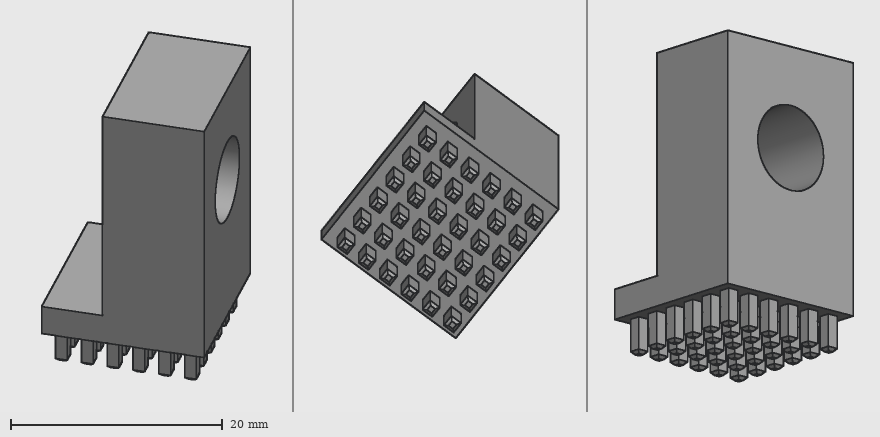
import cadquery as cq

side = 16.0
total_height = 28.5

base_thickness = 3.0
upright_thickness = 10.0

pin_count = 6
pin_pitch = 2.55
pin_width = 1.17
pin_length = 3.5
pin_tip_chamfer = 0.3

hole_diameter = 8.38
countersink_diameter = 10.6
countersink_depth = (countersink_diameter - hole_diameter) / 2
hole_height = 18.5

base_bottom = pin_length
ledge_top = base_bottom + base_thickness
upright_face = side / 2 - upright_thickness


def make_body():
    """L-shaped profile in the XZ plane, extruded across the full depth."""
    return (
        cq.Workplane("XZ")
        .moveTo(-side / 2, base_bottom)
        .lineTo(side / 2, base_bottom)
        .lineTo(side / 2, total_height)
        .lineTo(upright_face, total_height)
        .lineTo(upright_face, ledge_top)
        .lineTo(-side / 2, ledge_top)
        .close()
        .extrude(side / 2, both=True)
    )


def make_hole():
    """Cutter for the through hole and its conical mouth, revolved about the hole axis."""
    hole_radius = hole_diameter / 2
    return (
        cq.Workplane("XZ", origin=(upright_face, 0, hole_height))
        .lineTo(0, countersink_diameter / 2)
        .lineTo(countersink_depth, hole_radius)
        .lineTo(upright_thickness, hole_radius)
        .lineTo(upright_thickness, 0)
        .close()
        .revolve(360, (0, 0), (1, 0))
    )


def make_pins():
    """Grid of square pins with chamfered tips, hanging from the base."""
    pin = (
        cq.Workplane("XY")
        .rect(pin_width, pin_width)
        .extrude(pin_length)
        .faces("<Z")
        .chamfer(pin_tip_chamfer)
        .val()
    )
    return (
        cq.Workplane("XY")
        .rarray(pin_pitch, pin_pitch, pin_count, pin_count)
        .eachpoint(lambda location: pin.moved(location))
    )


result = make_body().cut(make_hole()).union(make_pins())